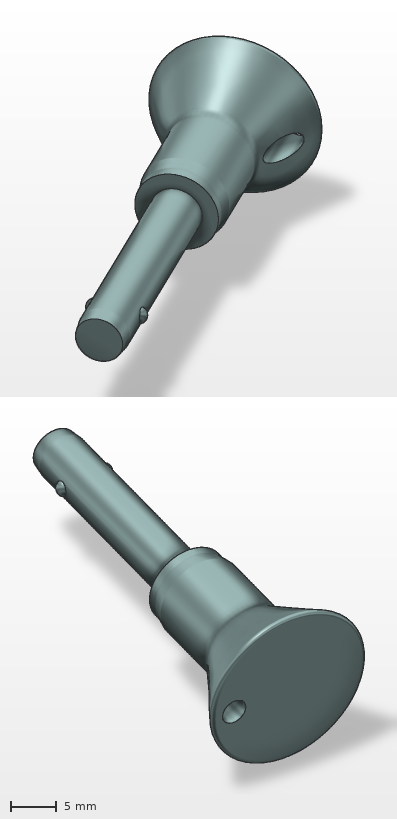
import cadquery as cq
import math

total_length = 48.0
back_y = total_length / 2

head_diameter = 20.0
head_radius = head_diameter / 2
rim_round = 0.5
flare_angle = math.radians(30.5)
neck_fillet = 2.0
barrel_radius = 5.2

taper_start = 18.15
taper_end = 19.8
collar_end = 21.0
collar_radius = 4.85

pin_radius = 3.0
tip_start = 46.2
tip_radius = 2.75

ball_radius = 1.0
ball_reach = 3.55
ball_distance = 41.85

hole_diameter = 3.0
hole_x = 7.2


def make_body():
    """Revolve the half outline of the handle, collar and pin."""
    def at(radius, distance):
        return (radius, back_y - distance)

    def rim_point(angle):
        return at(
            head_radius - rim_round + rim_round * math.cos(angle),
            rim_round + rim_round * math.sin(angle),
        )

    def neck_radius(angle):
        return barrel_radius + neck_fillet * (1 - math.cos(angle))

    flare_start_radius = head_radius - rim_round * (1 - math.cos(flare_angle))
    flare_start = rim_round * (1 + math.sin(flare_angle))
    flare_end_radius = neck_radius(flare_angle)
    flare_length = (flare_start_radius - flare_end_radius) / math.tan(flare_angle)
    flare_end = flare_start + flare_length
    barrel_start = flare_end + neck_fillet * math.sin(flare_angle)

    half_angle = flare_angle / 2
    neck_middle = barrel_start - neck_fillet * math.sin(half_angle)

    outline = (
        cq.Workplane("XY")
        .moveTo(*at(0, 0))
        .lineTo(*at(head_radius - rim_round, 0))
        .threePointArc(rim_point(-math.pi / 4), rim_point(0))
        .threePointArc(rim_point(flare_angle / 2), rim_point(flare_angle))
        .lineTo(*at(flare_end_radius, flare_end))
        .threePointArc(at(neck_radius(half_angle), neck_middle), at(barrel_radius, barrel_start))
        .lineTo(*at(barrel_radius, taper_start))
        .lineTo(*at(collar_radius, taper_end))
        .lineTo(*at(collar_radius, collar_end))
        .lineTo(*at(pin_radius, collar_end))
        .lineTo(*at(pin_radius, tip_start))
        .lineTo(*at(tip_radius, total_length))
        .lineTo(*at(0, total_length))
        .close()
    )
    return outline.revolve(360, (0, 0, 0), (0, 1, 0))


def make_ball(side):
    """Ball on the +X (side = 1) or -X (side = -1) flank of the pin."""
    center = (side * (ball_reach - ball_radius), back_y - ball_distance, 0)
    return cq.Workplane("XY").sphere(ball_radius).translate(center)


def make_lanyard_hole():
    """Cylinder along Y, running the whole length of the part."""
    return (
        cq.Workplane("XZ", origin=(hole_x, 0, 0))
        .circle(hole_diameter / 2)
        .extrude(total_length / 2, both=True)
    )


result = make_body().cut(make_lanyard_hole())
for side in (1, -1):
    result = result.union(make_ball(side))